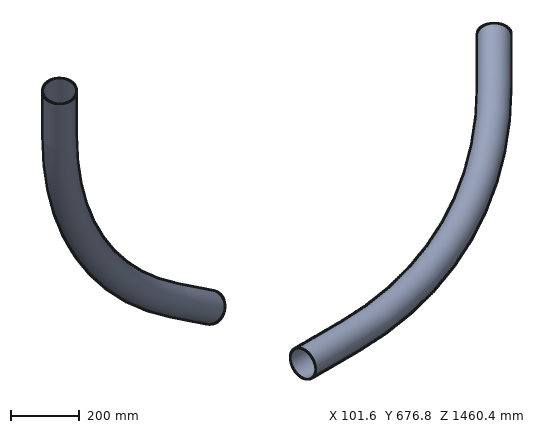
import cadquery as cq
import math

OUTER_DIAMETER = 101.6
INNER_DIAMETER = 97.38
BEND_RADIUS = 1524.0
BEND_ANGLE = 45.0
TANGENT_LENGTH = 203.2


def centreline():
    """Centreline in the YZ plane: down from the top end, round the bend, out towards +Y."""
    angle = math.radians(BEND_ANGLE)

    def bend_point(turn):
        y = BEND_RADIUS * (1 - math.cos(turn))
        z = -BEND_RADIUS * math.sin(turn)
        return y, z

    bend_end_y, bend_end_z = bend_point(angle)
    tube_end = (
        bend_end_y + TANGENT_LENGTH * math.sin(angle),
        bend_end_z - TANGENT_LENGTH * math.cos(angle),
    )
    return (
        cq.Workplane("YZ")
        .moveTo(0, TANGENT_LENGTH)
        .lineTo(0, 0)
        .threePointArc(bend_point(angle / 2), (bend_end_y, bend_end_z))
        .lineTo(*tube_end)
    )


def tube():
    """Annular section at the top end, swept along the centreline."""
    section = (
        cq.Workplane("XY", origin=(0, 0, TANGENT_LENGTH))
        .circle(OUTER_DIAMETER / 2)
        .circle(INNER_DIAMETER / 2)
    )
    return section.sweep(centreline())


result = tube()